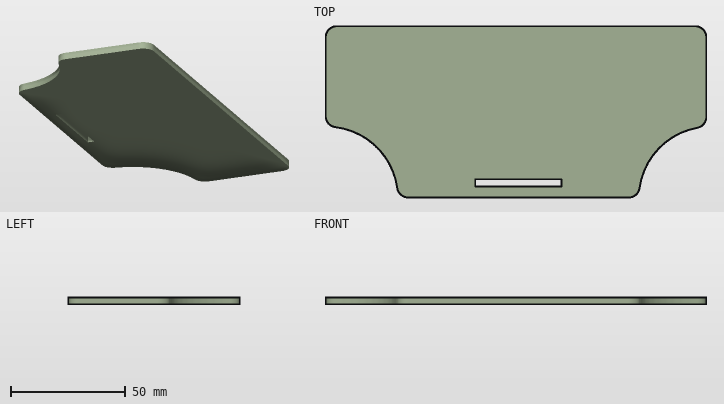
import cadquery as cq
import math

plate_length = 166.46
plate_width = 75.0
plate_thickness = 3.0
corner_radius = 5.0

notch_radius = 31.0
notch_spacing = 167.4
notch_middle_x = 1.05

slot_length = 37.5
slot_width = 3.0
slot_front_y = 5.0

half_length = plate_length / 2
left_notch_x = notch_middle_x - notch_spacing / 2
right_notch_x = notch_middle_x + notch_spacing / 2


def notch_point(center_x, x):
    """Point at the given X on the rear half of the notch circle."""
    return (x, math.sqrt(notch_radius**2 - (x - center_x) ** 2))


def notch_middle(center_x, direction):
    """Point on the notch circle, halfway between its inner and rear ends."""
    offset = notch_radius * math.sqrt(0.5)
    return (center_x + direction * offset, offset)


def make_plate():
    """Flat plate with both notches and all six corners rounded."""
    return (
        cq.Workplane("XY")
        .moveTo(left_notch_x + notch_radius, 0)
        .lineTo(right_notch_x - notch_radius, 0)
        .threePointArc(notch_middle(right_notch_x, -1), notch_point(right_notch_x, half_length))
        .lineTo(half_length, plate_width)
        .lineTo(-half_length, plate_width)
        .lineTo(*notch_point(left_notch_x, -half_length))
        .threePointArc(notch_middle(left_notch_x, 1), (left_notch_x + notch_radius, 0))
        .close()
        .extrude(plate_thickness)
        .edges("|Z")
        .fillet(corner_radius)
    )


def make_slot():
    """Rectangular block that cuts the slot."""
    return (
        cq.Workplane("XY")
        .center(notch_middle_x, slot_front_y + slot_width / 2)
        .rect(slot_length, slot_width)
        .extrude(plate_thickness)
    )


result = make_plate().cut(make_slot())